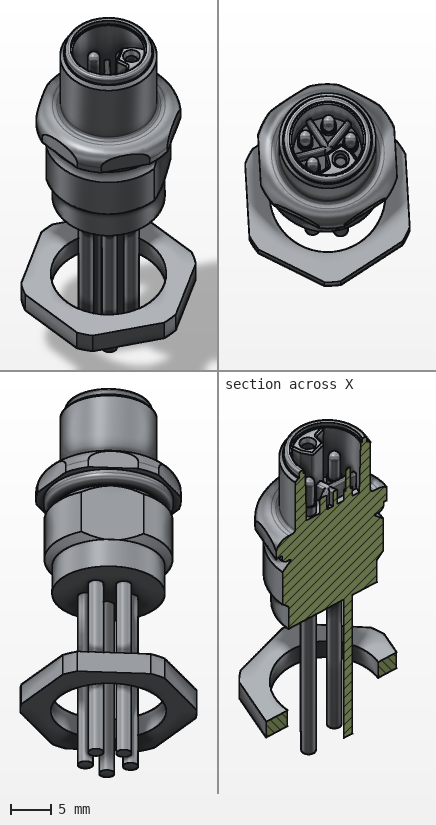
import cadquery as cq
import math

KEY_ANGLE = 18.0
HEX_SIDES = 6
HEX_HALF_ANGLE = 180.0 / HEX_SIDES

TOTAL_HEIGHT = 50.2
BODY_BOTTOM = 23.95
WRENCH_BOTTOM = 27.75
NECK_HEIGHT = 35.65
SEAL_BOTTOM = 35.8
FLANGE_BOTTOM = 37.15
FLANGE_TOP = 40.1
SHOULDER_HEIGHT = 49.2

TAIL_RADIUS = 7.05
WRENCH_RADIUS = 8.0
NECK_RADIUS = 6.75
SEAL_RADIUS = 8.1
FLANGE_RADIUS = 9.05
BARREL_RADIUS = 6.0
SHOULDER_RADIUS = 5.55
RIM_RADIUS = 5.4

WRENCH_TOP = NECK_HEIGHT - (WRENCH_RADIUS - NECK_RADIUS)
WRENCH_LOWER_CHAMFER_HEIGHT = 1.0
WRENCH_LOWER_EDGE = WRENCH_BOTTOM + WRENCH_LOWER_CHAMFER_HEIGHT
SEAL_FILLET = 0.9
FLANGE_FILLET = 2.0
BARREL_FOOT_FILLET = 0.45
RIM_FILLET = 0.35
RIM_ROUND_START = TOTAL_HEIGHT - RIM_FILLET

WRENCH_FLAT_DISTANCE = 7.0
FLANGE_FLAT_DISTANCE = 8.5

FLOOR_RADIUS = 4.25
BORE_RADIUS = 4.45
BORE_MOUTH_RADIUS = 4.7
BORE_MOUTH_DEPTH = 0.6
FLOOR_HEIGHT = 41.15

CONTACT_COUNT = 5
CONTACT_STEP = 360.0 / CONTACT_COUNT
CONTACT_CIRCLE = 2.95
PIN_RADIUS = 0.75
PIN_TIP = 46.85
PIN_COLLAR_RADIUS = 0.95
PIN_COLLAR_HEIGHT = 1.5
WIRE_RADIUS = 0.95

RIB_HEIGHT = 2.5
RIB_WIDTH = 0.7
RIB_FILLET = 0.25
WEB_WIDTH = 1.1

POST_TOP = 49.55
POST_INNER = 1.35
POST_OUTER = 2.9
POST_INNER_HALF_WIDTH = 1.2
POST_OUTER_HALF_WIDTH = 1.75
POST_CORNER_FILLET = 0.3
POST_TOP_CHAMFER = 0.25
SOCKET_RADIUS = 0.75
SOCKET_MOUTH_RADIUS = 1.05
SOCKET_MOUTH_DEPTH = 0.75
SOCKET_DEPTH = 3.0

NUT_BOTTOM = 7.25
NUT_THICKNESS = 2.8
NUT_FLAT_DISTANCE = 10.0
NUT_CORNER_RADIUS = 11.0
NUT_HOLE_RADIUS = 7.2


def cylinder(radius, bottom, top):
    return cq.Workplane("XY").workplane(offset=bottom).circle(radius).extrude(top - bottom)


def cone(bottom_radius, top_radius, bottom, top):
    axis = cq.Vector(0, 0, 1)
    solid = cq.Solid.makeCone(bottom_radius, top_radius, top - bottom, cq.Vector(0, 0, bottom), axis)
    return cq.Workplane(obj=solid)


def hexagon(flat_distance, bottom, top):
    """Hexagonal prism with one flat facing +X."""
    corner_diameter = 2 * flat_distance / math.cos(math.radians(HEX_HALF_ANGLE))
    outline = cq.Workplane("XY").workplane(offset=bottom).polygon(HEX_SIDES, corner_diameter)
    return outline.extrude(top - bottom).rotate((0, 0, 0), (0, 0, 1), HEX_HALF_ANGLE)


def round_inset(radius):
    """Distance from the corner of a square edge to the middle of its rounding, along either face."""
    return radius * (1 - math.sqrt(0.5))


def seal_and_tail():
    """Turned lower part: tail, wrench collar with two flats, and seal ring."""
    inset = round_inset(SEAL_FILLET)
    body = (
        cq.Workplane("XZ")
        .moveTo(0, BODY_BOTTOM)
        .lineTo(TAIL_RADIUS, BODY_BOTTOM)
        .lineTo(TAIL_RADIUS, WRENCH_BOTTOM)
        .lineTo(WRENCH_RADIUS, WRENCH_LOWER_EDGE)
        .lineTo(WRENCH_RADIUS, WRENCH_TOP)
        .lineTo(NECK_RADIUS, NECK_HEIGHT)
        .lineTo(NECK_RADIUS, SEAL_BOTTOM)
        .lineTo(SEAL_RADIUS - SEAL_FILLET, SEAL_BOTTOM)
        .threePointArc(
            (SEAL_RADIUS - inset, SEAL_BOTTOM + inset),
            (SEAL_RADIUS, SEAL_BOTTOM + SEAL_FILLET),
        )
        .lineTo(SEAL_RADIUS, FLANGE_BOTTOM)
        .lineTo(0, FLANGE_BOTTOM)
        .close()
        .revolve(360, (0, 0, 0), (0, 1, 0))
    )
    for side in (-1, 1):
        flat_cut = cq.Workplane("XY").box(
            WRENCH_RADIUS, 2 * WRENCH_RADIUS, NECK_HEIGHT - WRENCH_BOTTOM, centered=(True, True, False)
        )
        center_x = side * (WRENCH_FLAT_DISTANCE + WRENCH_RADIUS / 2)
        body = body.cut(flat_cut.translate((center_x, 0, WRENCH_BOTTOM)))
    return body


def hex_flange():
    """Flange with a rounded upper edge and six flats."""
    flange = cylinder(FLANGE_RADIUS, FLANGE_BOTTOM, FLANGE_TOP).faces(">Z").edges().fillet(FLANGE_FILLET)
    return flange.intersect(hexagon(FLANGE_FLAT_DISTANCE, FLANGE_BOTTOM, FLANGE_TOP))


def barrel():
    """Turned barrel with a flared foot and a stepped, rounded rim."""
    foot_radius = BARREL_RADIUS + BARREL_FOOT_FILLET
    foot_inset = round_inset(BARREL_FOOT_FILLET)
    rim_inset = round_inset(RIM_FILLET)
    shoulder_edge = SHOULDER_HEIGHT - (BARREL_RADIUS - SHOULDER_RADIUS)
    return (
        cq.Workplane("XZ")
        .moveTo(0, FLANGE_TOP)
        .lineTo(foot_radius, FLANGE_TOP)
        .threePointArc(
            (BARREL_RADIUS + foot_inset, FLANGE_TOP + foot_inset),
            (BARREL_RADIUS, FLANGE_TOP + BARREL_FOOT_FILLET),
        )
        .lineTo(BARREL_RADIUS, shoulder_edge)
        .lineTo(SHOULDER_RADIUS, SHOULDER_HEIGHT)
        .lineTo(RIM_RADIUS, SHOULDER_HEIGHT)
        .lineTo(RIM_RADIUS, RIM_ROUND_START)
        .threePointArc(
            (RIM_RADIUS - rim_inset, TOTAL_HEIGHT - rim_inset),
            (RIM_RADIUS - RIM_FILLET, TOTAL_HEIGHT),
        )
        .lineTo(0, TOTAL_HEIGHT)
        .close()
        .revolve(360, (0, 0, 0), (0, 1, 0))
    )


def contact_chamber():
    """Slightly tapered space around the contacts, with a stepped mouth."""
    mouth_bottom = TOTAL_HEIGHT - BORE_MOUTH_DEPTH
    bore = cone(FLOOR_RADIUS, BORE_RADIUS, FLOOR_HEIGHT, mouth_bottom)
    return bore.union(cylinder(BORE_MOUTH_RADIUS, mouth_bottom, TOTAL_HEIGHT))


def contact_place(index):
    """Point on the contact circle; index 0 is the socket post."""
    angle = math.radians(index * CONTACT_STEP)
    return (CONTACT_CIRCLE * math.cos(angle), CONTACT_CIRCLE * math.sin(angle), 0)


def pin():
    """Pin with a hemispherical tip and a collar at its foot."""
    tip_center = PIN_TIP - PIN_RADIUS
    tip = cq.Workplane("XY").sphere(PIN_RADIUS).translate((0, 0, tip_center))
    collar = cylinder(PIN_COLLAR_RADIUS, FLOOR_HEIGHT, FLOOR_HEIGHT + PIN_COLLAR_HEIGHT)
    return collar.union(cylinder(PIN_RADIUS, FLOOR_HEIGHT, tip_center)).union(tip)


def rib(length, width):
    """Round-topped rib that starts at the axis and runs along +X."""
    bar = cq.Workplane("XY").box(length, width, RIB_HEIGHT, centered=(False, True, False))
    return bar.edges("|X and >Z").fillet(RIB_FILLET).translate((0, 0, FLOOR_HEIGHT))


def socket_post():
    """Post that widens toward the wall, with a key wing on its -Y side and a countersunk socket."""
    post = (
        cq.Workplane("XY")
        .workplane(offset=FLOOR_HEIGHT)
        .moveTo(POST_INNER, POST_INNER_HALF_WIDTH)
        .lineTo(POST_OUTER, POST_OUTER_HALF_WIDTH)
        .lineTo(BARREL_RADIUS, POST_OUTER_HALF_WIDTH)
        .lineTo(BARREL_RADIUS, -BARREL_RADIUS)
        .lineTo(POST_OUTER, -BARREL_RADIUS)
        .lineTo(POST_OUTER, -POST_OUTER_HALF_WIDTH)
        .lineTo(POST_INNER, -POST_INNER_HALF_WIDTH)
        .close()
        .extrude(POST_TOP - FLOOR_HEIGHT)
    )
    corner_limit = cq.selectors.BoxSelector(
        (0, -BORE_RADIUS, FLOOR_HEIGHT), (BORE_RADIUS, BORE_RADIUS, POST_TOP)
    )
    post = post.edges("|Z").edges(corner_limit).fillet(POST_CORNER_FILLET)
    post = post.faces(">Z").edges().chamfer(POST_TOP_CHAMFER)
    post = post.intersect(contact_chamber())
    hole = cylinder(SOCKET_RADIUS, POST_TOP - SOCKET_DEPTH, POST_TOP)
    mouth = cone(SOCKET_RADIUS, SOCKET_MOUTH_RADIUS, POST_TOP - SOCKET_MOUTH_DEPTH, POST_TOP)
    return post.cut(hole.union(mouth).translate(contact_place(0)))


def make_connector():
    body = seal_and_tail().union(hex_flange()).union(barrel()).cut(contact_chamber())
    for index in range(CONTACT_COUNT):
        wire = cylinder(WIRE_RADIUS, 0, BODY_BOTTOM)
        body = body.union(wire.translate(contact_place(index)))
    for index in range(1, CONTACT_COUNT):
        body = body.union(pin().translate(contact_place(index)))
    for index in range(1, CONTACT_COUNT - 1):
        angle = (index + 0.5) * CONTACT_STEP
        body = body.union(rib(FLOOR_RADIUS, RIB_WIDTH).rotate((0, 0, 0), (0, 0, 1), angle))
    body = body.union(rib(POST_INNER, WEB_WIDTH)).union(socket_post())
    return body.rotate((0, 0, 0), (0, 0, 1), KEY_ANGLE)


def make_nut():
    """Hexagonal nut with its corners turned to a circle."""
    top = NUT_BOTTOM + NUT_THICKNESS
    nut = hexagon(NUT_FLAT_DISTANCE, NUT_BOTTOM, top)
    nut = nut.intersect(cylinder(NUT_CORNER_RADIUS, NUT_BOTTOM, top))
    nut = nut.cut(cylinder(NUT_HOLE_RADIUS, NUT_BOTTOM, top))
    return nut.rotate((0, 0, 0), (0, 0, 1), KEY_ANGLE)


connector = make_connector()
nut = make_nut()

result = cq.Compound.makeCompound([connector.val(), nut.val()])